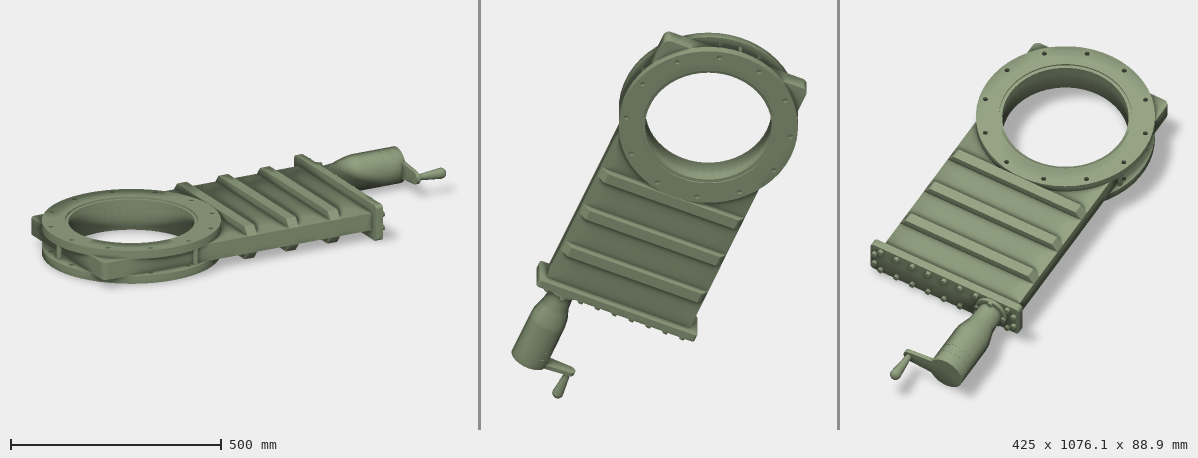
import cadquery as cq
import math


overall_length = 1076.15

body_width = 367.0
body_thickness = 43.0
sheet_thickness = 3.5
body_bottom = -175.0
body_top = 549.5
corner_radius = 14.0

flange_diameter = 425.0
flange_thickness = 20.0
flange_face = body_thickness / 2 + flange_thickness
bore_diameter = 300.0
seat_diameter = 316.0
seat_depth = 4.0
bolt_circle_radius = 196.5
flange_hole_count = 12
flange_hole_diameter = 12.0

post_radius = 6.0
side_post_x = 190.0
side_post_y = 70.0
bottom_post_y = -195.0

rib_width = 26.0
rib_end_run = 16.0
rib_count = 3
first_rib_y = 227.0
rib_pitch = 112.0

cover_length = 406.0
cover_height = 88.9
cover_corner_radius = 8.0
cover_flange_thickness = 7.5
gasket_thickness = 3.0
cover_plate_thickness = 8.5
cover_top = body_top + cover_flange_thickness + gasket_thickness + cover_plate_thickness

screw_head_diameter = 13.0
screw_head_height = 8.5
long_side_screw_z = 33.0
long_side_screw_pitch = 43.5
long_side_screw_steps = 4
short_side_screw_x = 191.0
short_side_screw_z = 17.0

actuator_screw_step = -3
actuator_x = actuator_screw_step * long_side_screw_pitch
mount_radius = 42.0
mount_top = 577.0
mount_screw_count = 4
mount_screw_circle_radius = 36.0
mount_screw_head_height = 6.0
neck_radius = 30.5
neck_top = 597.0
shoulder_radius = 36.0
shoulder_y = 632.0
barrel_radius = 44.45
barrel_bottom = 671.0
barrel_top = 788.0
groove_positions = (734.0, 757.0)
groove_width = 2.5
groove_depth = 0.5

crank_thickness = 10.0
crank_hub_radius = 25.0
crank_tip_radius = 15.0
crank_length = 101.0
handle_base_radius = 7.0
handle_top_radius = 13.0
handle_neck_top = 848.0
handle_top = overall_length - flange_diameter / 2


def y_cylinder(x, z, radius, y_start, y_end):
    """Cylinder with its axis parallel to Y."""
    return cq.Workplane(cq.Solid.makeCylinder(
        radius, y_end - y_start, cq.Vector(x, y_start, z), cq.Vector(0, 1, 0)))


def z_cylinder(x, y, radius, z_start, z_end):
    """Cylinder with its axis parallel to Z."""
    return cq.Workplane(cq.Solid.makeCylinder(radius, z_end - z_start, cq.Vector(x, y, z_start)))


def both_faces(upper):
    """A shape on the +Z side together with its mirror image on the -Z side."""
    return [upper, upper.mirror("XY")]


def body_layer(z_start, z_end):
    """One layer of the housing, rounded at the two bottom corners."""
    return (
        cq.Workplane("XY", origin=(0, 0, z_start))
        .center(0, (body_bottom + body_top) / 2)
        .rect(body_width, body_top - body_bottom)
        .extrude(z_end - z_start)
        .edges("|Z and <Y").fillet(corner_radius)
    )


def make_body():
    sheet_inside = body_thickness / 2 - sheet_thickness
    frame = body_layer(-sheet_inside, sheet_inside)
    return [frame] + both_faces(body_layer(sheet_inside, body_thickness / 2))


def make_flanges():
    flange = (
        cq.Workplane("XY", origin=(0, 0, body_thickness / 2))
        .circle(flange_diameter / 2)
        .extrude(flange_thickness)
        .faces(">Z").workplane()
        .polarArray(bolt_circle_radius, 180 / flange_hole_count, 360, flange_hole_count)
        .hole(flange_hole_diameter)
        .cut(z_cylinder(0, 0, seat_diameter / 2, flange_face - seat_depth, flange_face))
    )
    return both_faces(flange)


def make_posts():
    places = [(0, bottom_post_y), (-side_post_x, side_post_y), (side_post_x, side_post_y)]
    return [z_cylinder(x, y, post_radius, -body_thickness / 2, body_thickness / 2) for x, y in places]


def make_ribs():
    half_width = body_width / 2
    rib = (
        cq.Workplane("XZ", origin=(0, rib_width / 2, 0))
        .polyline([
            (-half_width, body_thickness / 2),
            (half_width, body_thickness / 2),
            (half_width - rib_end_run, flange_face),
            (-half_width + rib_end_run, flange_face),
        ])
        .close()
        .extrude(rib_width)
    )
    ribs = []
    for index in range(rib_count):
        ribs += both_faces(rib.translate((0, first_rib_y + index * rib_pitch, 0)))
    return ribs


def make_cover():
    layers = []
    layer_start = body_top
    for thickness in (cover_flange_thickness, gasket_thickness, cover_plate_thickness):
        layer = (
            cq.Workplane("XY")
            .box(cover_length, thickness, cover_height)
            .edges("|Y").fillet(cover_corner_radius)
            .translate((0, layer_start + thickness / 2, 0))
        )
        layers.append(layer)
        layer_start += thickness
    return layers


def make_cover_screws():
    screw_places = [
        (x, z)
        for x in (-short_side_screw_x, short_side_screw_x)
        for z in (-short_side_screw_z, short_side_screw_z)
    ]
    for step in range(-long_side_screw_steps, long_side_screw_steps + 1):
        x = step * long_side_screw_pitch
        if step != actuator_screw_step:
            screw_places += [(x, -long_side_screw_z), (x, long_side_screw_z)]
    head_radius = screw_head_diameter / 2
    head_top = cover_top + screw_head_height
    return [y_cylinder(x, z, head_radius, cover_top, head_top) for x, z in screw_places]


def make_actuator():
    axis_direction = (0, 1)
    shoulder_direction = (2 * (barrel_radius - neck_radius), barrel_bottom - neck_top)
    housing = (
        cq.Workplane("XY", origin=(actuator_x, 0, 0))
        .moveTo(0, cover_top)
        .lineTo(mount_radius, cover_top)
        .lineTo(mount_radius, mount_top)
        .lineTo(neck_radius, mount_top)
        .lineTo(neck_radius, neck_top)
        .spline(
            [(shoulder_radius, shoulder_y)],
            tangents=[axis_direction, shoulder_direction],
            includeCurrent=True,
        )
        .spline(
            [(barrel_radius, barrel_bottom)],
            tangents=[shoulder_direction, axis_direction],
            includeCurrent=True,
        )
        .lineTo(barrel_radius, barrel_top)
        .lineTo(0, barrel_top)
        .close()
        .revolve(360, (0, 0, 0), (0, 1, 0))
    )
    for y in groove_positions:
        groove = y_cylinder(actuator_x, 0, barrel_radius, y, y + groove_width).cut(
            y_cylinder(actuator_x, 0, barrel_radius - groove_depth, y, y + groove_width))
        housing = housing.cut(groove)
    return [housing]


def make_mount_screws():
    heads = []
    for index in range(mount_screw_count):
        angle = 2 * math.pi * index / mount_screw_count
        x = actuator_x + mount_screw_circle_radius * math.cos(angle)
        z = mount_screw_circle_radius * math.sin(angle)
        head_top = mount_top + mount_screw_head_height
        heads.append(y_cylinder(x, z, screw_head_diameter / 2, mount_top, head_top))
    return heads


def make_crank():
    """Flat arm whose straight edges run tangent to the hub and tip circles."""
    tip_x = actuator_x + crank_length
    slope_sine = (crank_hub_radius - crank_tip_radius) / crank_length
    slope_cosine = math.sqrt(1 - slope_sine ** 2)

    hub_x = actuator_x + crank_hub_radius * slope_sine
    hub_z = crank_hub_radius * slope_cosine
    tip_tangent_x = tip_x + crank_tip_radius * slope_sine
    tip_tangent_z = crank_tip_radius * slope_cosine
    arm = (
        cq.Workplane("XZ", origin=(0, barrel_top, 0))
        .moveTo(hub_x, -hub_z)
        .lineTo(tip_tangent_x, -tip_tangent_z)
        .threePointArc((tip_x + crank_tip_radius, 0), (tip_tangent_x, tip_tangent_z))
        .lineTo(hub_x, hub_z)
        .close()
        .extrude(crank_thickness)
    )

    cap_height = handle_top - handle_neck_top
    cap_radius = (handle_top_radius ** 2 + cap_height ** 2) / (2 * cap_height)
    half_cap_angle = math.atan2(cap_height, handle_top_radius)
    end_middle_x = cap_radius * math.sin(half_cap_angle)
    end_middle_y = handle_top - cap_radius * (1 - math.cos(half_cap_angle))
    handle = (
        cq.Workplane("XY", origin=(tip_x, 0, 0))
        .moveTo(0, barrel_top)
        .lineTo(handle_base_radius, barrel_top)
        .lineTo(handle_top_radius, handle_neck_top)
        .threePointArc((end_middle_x, end_middle_y), (0, handle_top))
        .close()
        .revolve(360, (0, 0, 0), (0, 1, 0))
    )
    return [arm, handle]


parts = (
    make_body() + make_flanges() + make_posts() + make_ribs() + make_cover()
    + make_cover_screws() + make_actuator() + make_mount_screws() + make_crank()
)
result = parts[0]
for part in parts[1:]:
    result = result.union(part, clean=False)
result = result.cut(z_cylinder(0, 0, bore_diameter / 2, -flange_face, flange_face), clean=False)